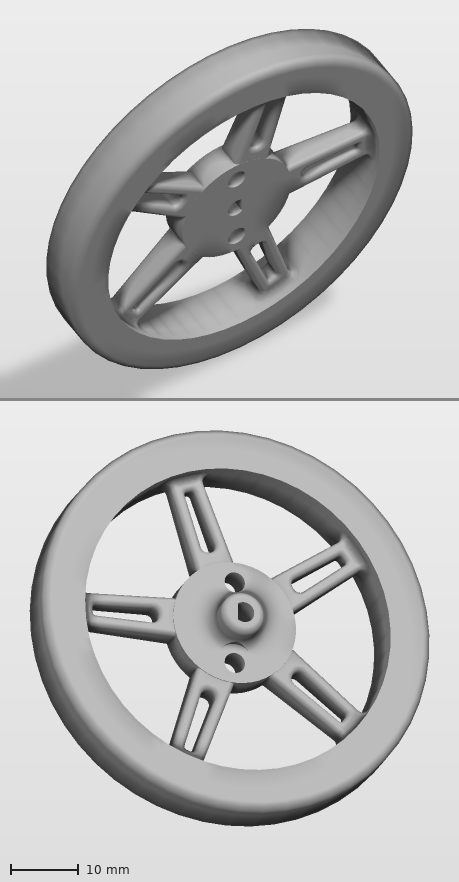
import cadquery as cq


rim_diameter = 60
rim_bore_diameter = 47.3
rim_width = 8.0
rim_edge_radius = 1.3

hub_diameter = 18.95
hub_front = 1.5
hub_thickness = 4.5
hub_back = hub_front + hub_thickness
boss_diameter = 6.6
boss_front = -3
boss_tip_radius = 1.0
boss_root_radius = 1.5

axle_diameter = 3.1
axle_flat_offset = 0.95

screw_hole_diameter = 3.1
screw_hole_offset = 6.35
screw_head_diameter = 6

spoke_count = 5
spoke_pitch = 360 / spoke_count
spoke_inner_radius = 8.4
spoke_inner_width = 6.05
spoke_inner_front = 1.55
spoke_outer_radius = 24.25
spoke_outer_width = 5.1
spoke_outer_front = 2.65
spoke_outer_back = 5.8
spoke_edge_radius = 0.7
spoke_root_radius = 1.0

slot_inner_end = 11.5
slot_inner_width = 2.35
slot_outer_end = 21.5
slot_outer_width = 1.6
slot_inner_corner_radius = 1.0
slot_outer_corner_radius = 0.5


def cylinder(diameter, x_start, x_end, z=0):
    """Solid cylinder parallel to X between two X positions."""
    plane = cq.Workplane("YZ", origin=(x_start, 0, z))
    return plane.circle(diameter / 2).extrude(x_end - x_start)


def tapered_bar(inner_end, inner_width, outer_end, outer_width):
    """Bar along +Y as thick as the hub, changing width between its two ends."""
    return (
        cq.Workplane("YZ", origin=(hub_front, 0, 0))
        .moveTo(inner_end, -inner_width / 2)
        .lineTo(outer_end, -outer_width / 2)
        .lineTo(outer_end, outer_width / 2)
        .lineTo(inner_end, inner_width / 2)
        .close()
        .extrude(hub_thickness)
    )


def make_rim():
    """Rounded rim, turned so that the seam of its bore falls between two spokes."""
    rim = cylinder(rim_diameter, 0, rim_width).edges().fillet(rim_edge_radius)
    rim = rim.cut(cylinder(rim_bore_diameter, 0, rim_width))
    return rim.rotate((0, 0, 0), (1, 0, 0), spoke_pitch / 2)


def make_spoke():
    """One slotted spoke along +Y with its front and back edges rounded."""
    slot = tapered_bar(slot_inner_end, slot_inner_width, slot_outer_end, slot_outer_width)
    slot = slot.edges("|X and <Y").fillet(slot_inner_corner_radius)
    slot = slot.edges("|X and >Y").fillet(slot_outer_corner_radius)
    spoke = tapered_bar(spoke_inner_radius, spoke_inner_width, spoke_outer_radius, spoke_outer_width)
    side_profile = (
        cq.Workplane("XY")
        .moveTo(spoke_inner_front, spoke_inner_radius)
        .lineTo(spoke_outer_front, spoke_outer_radius)
        .lineTo(spoke_outer_back, spoke_outer_radius)
        .lineTo(hub_back, spoke_inner_radius)
        .close()
        .extrude(spoke_inner_width, both=True)
    )
    spoke = spoke.intersect(side_profile).cut(slot)
    return spoke.faces("<X or >X").edges("not(<Y or >Y)").fillet(spoke_edge_radius)


def add_spokes(rim):
    """Join the spokes to the rim and blend the root of each one into the bore."""
    spoke = make_spoke()
    wheel = rim
    for index in range(spoke_count):
        wheel = wheel.union(spoke.rotate((0, 0, 0), (1, 0, 0), index * spoke_pitch))
    bore_faces = [face for face in wheel.faces("%CYLINDER").vals() if len(face.innerWires()) == spoke_count]
    root_edges = [edge for wire in bore_faces[0].innerWires() for edge in wire.Edges()]
    return wheel.newObject(root_edges).fillet(spoke_root_radius)


def make_hub():
    """Hub disc with a round-tipped boss that flares out where it meets the disc."""
    boss_radius = boss_diameter / 2
    hub = (
        cq.Workplane("XY")
        .moveTo(boss_front, 0)
        .lineTo(boss_front, boss_radius - boss_tip_radius)
        .radiusArc((boss_front + boss_tip_radius, boss_radius), boss_tip_radius)
        .lineTo(hub_front - boss_root_radius, boss_radius)
        .radiusArc((hub_front, boss_radius + boss_root_radius), -boss_root_radius)
        .lineTo(hub_front, hub_diameter / 2)
        .lineTo(hub_back, hub_diameter / 2)
        .lineTo(hub_back, 0)
        .close()
        .revolve(360, (0, 0, 0), (1, 0, 0))
    )
    for side in (-1, 1):
        hub = hub.cut(cylinder(screw_head_diameter, boss_front, hub_front, z=side * screw_hole_offset))
    return hub


def cut_hub_holes(wheel):
    """Cut the two screw holes and the axle hole, with its flat on the +Y side."""
    for side in (-1, 1):
        wheel = wheel.cut(cylinder(screw_hole_diameter, boss_front, hub_back, z=side * screw_hole_offset))
    axle_flat = cq.Workplane("XY").box(
        hub_back - boss_front, axle_diameter, axle_diameter, centered=(False, False, True)
    )
    axle_flat = axle_flat.translate((boss_front, axle_flat_offset, 0))
    return wheel.cut(cylinder(axle_diameter, boss_front, hub_back).cut(axle_flat))


result = cut_hub_holes(add_spokes(make_rim()).union(make_hub()))